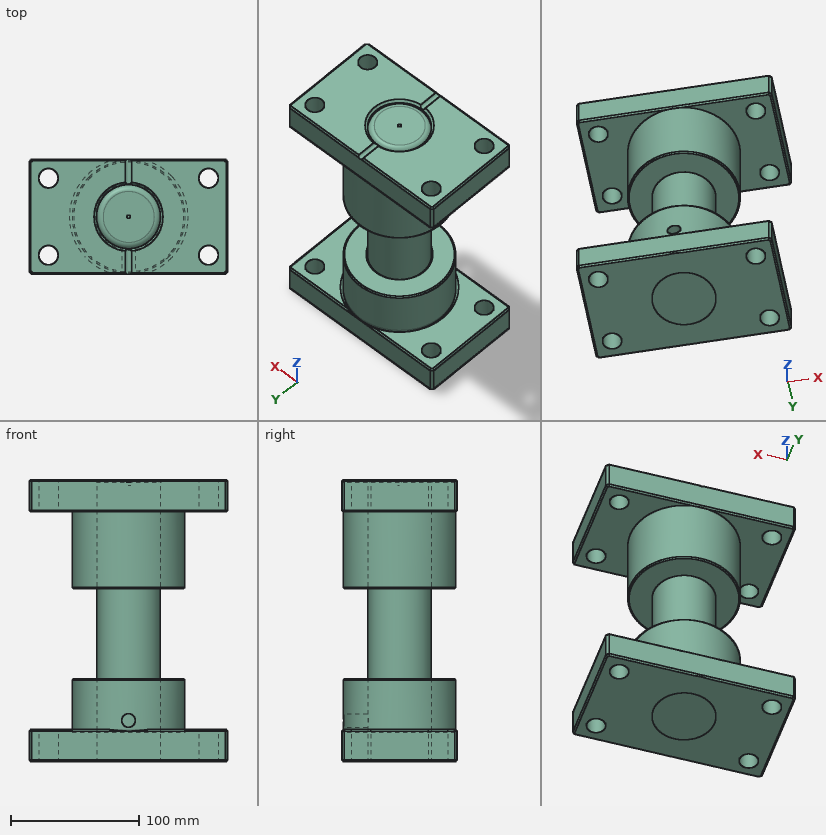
import cadquery as cq
total_height = 220.1

plate_length = 155.0
plate_width = 90.0
plate_thickness = 25.0
plate_corner_chamfer = 2.0
plate_face_chamfer = 1.3
bolt_hole_diameter = 15.0
bolt_spacing_x = 125.0
bolt_spacing_y = 60.0

boss_diameter = 88.0
boss_radius = boss_diameter / 2
boss_chamfer = 1.0
lower_boss_height = 39.6
upper_boss_height = 59.9

pin_diameter = 50.0
pin_radius = pin_diameter / 2
pin_top_round = 5.0
center_hole_diameter = 2.6
center_hole_depth = 4.5
upper_bore_chamfer = 2.0
lower_bore_chamfer = 1.0

foot_groove_size = 2.2

cross_hole_diameter = 10.5
cross_hole_height = 32.1

oil_groove_width = 4.8
oil_groove_depth = 1.8

upper_plate_base = total_height - plate_thickness
upper_boss_base = upper_plate_base - upper_boss_height
lower_boss_top = plate_thickness + lower_boss_height


def make_plate(base_z):
    """Rectangular plate with all edges chamfered and four bolt holes."""
    return (
        cq.Workplane("XY", origin=(0, 0, base_z))
        .box(plate_length, plate_width, plate_thickness, centered=(True, True, False))
        .edges("|Z")
        .chamfer(plate_corner_chamfer)
        .faces("<Z or >Z")
        .chamfer(plate_face_chamfer)
        .faces(">Z")
        .workplane(origin=(0, 0, 0))
        .rect(bolt_spacing_x, bolt_spacing_y, forConstruction=True)
        .vertices()
        .hole(bolt_hole_diameter)
    )


def make_cylinder(diameter, base_z, height):
    """Upright cylinder on the pin axis."""
    return cq.Workplane("XY", origin=(0, 0, base_z)).circle(diameter / 2).extrude(height)


def make_bore():
    """Cutter for the through bore that the pin fills."""
    return make_cylinder(pin_diameter, 0, total_height)


def make_bore_chamfer(top_z, size):
    """Cone that chamfers the mouth of a bore opening upward at top_z."""
    return (
        cq.Workplane("XZ")
        .moveTo(0, top_z)
        .lineTo(pin_radius + size, top_z)
        .lineTo(pin_radius, top_z - size)
        .lineTo(0, top_z - size)
        .close()
        .revolve(360, (0, 0), (0, 1))
    )


def make_foot_groove():
    """Ring with a straight wall along the boss and a 45 degree slope in the plate."""
    return (
        cq.Workplane("XZ")
        .moveTo(boss_radius, plate_thickness)
        .lineTo(boss_radius + foot_groove_size, plate_thickness)
        .lineTo(boss_radius, plate_thickness - foot_groove_size)
        .close()
        .revolve(360, (0, 0), (0, 1))
    )


def make_cross_hole():
    """Cutter from the pin axis out through the -Y side of the lower boss."""
    return (
        cq.Workplane("XZ", origin=(0, 0, cross_hole_height))
        .circle(cross_hole_diameter / 2)
        .extrude(boss_diameter)
    )


def make_oil_groove():
    """Cutter along Y for a shallow round-bottomed groove in the top face of the upper plate."""
    half_width = oil_groove_width / 2
    return (
        cq.Workplane("XZ", origin=(0, 0, total_height))
        .moveTo(-half_width, 0)
        .threePointArc((0, -oil_groove_depth), (half_width, 0))
        .close()
        .extrude(plate_width, both=True)
    )


def make_lower_housing():
    """Bottom plate and its boss as one body."""
    boss = make_cylinder(boss_diameter, 0, lower_boss_top).faces(">Z").chamfer(boss_chamfer)
    return (
        make_plate(0)
        .cut(make_foot_groove())
        .union(boss)
        .cut(make_bore())
        .cut(make_bore_chamfer(lower_boss_top, lower_bore_chamfer))
        .cut(make_cross_hole())
    )


def make_upper_housing():
    """Top plate and its hanging boss as one body."""
    boss = (
        make_cylinder(boss_diameter, upper_boss_base, upper_boss_height)
        .faces("<Z")
        .chamfer(boss_chamfer)
    )
    return (
        make_plate(upper_plate_base)
        .union(boss)
        .cut(make_bore())
        .cut(make_bore_chamfer(total_height, upper_bore_chamfer))
        .cut(make_oil_groove())
    )


def make_pin():
    """Full-height pin, flush with the top plate, with a rounded top and a small center hole."""
    return (
        make_cylinder(pin_diameter, 0, total_height)
        .faces(">Z")
        .edges()
        .fillet(pin_top_round)
        .faces(">Z")
        .workplane(origin=(0, 0, 0))
        .hole(center_hole_diameter, center_hole_depth)
    )


lower_housing = make_lower_housing()
upper_housing = make_upper_housing()
pin = make_pin()

result = cq.Compound.makeCompound([lower_housing.val(), upper_housing.val(), pin.val()])